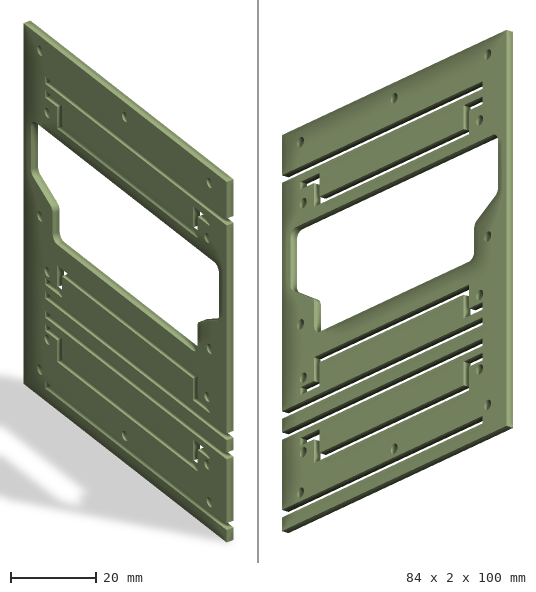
import cadquery as cq

plate_width = 84.0
plate_height = 100.0
plate_thickness = 2.0

slot_width = 1.9
slot_start_x = -33.0
slot_centers_z = (38.9, -20.7, -26.0, -45.6)

crank_center_x = 1.0
crank_width = 2.0
crank_half_length = crank_center_x - slot_start_x
crank_half_bar = 29.0
crank_depth = 7.9
cranks = ((36.0, -1, 30.3), (-17.8, 1, -13.8), (-28.7, -1, -32.6))

hole_diameter = 2.5
mount_hole_x = 35.0
mount_rows = ((46.0, (-1, 0, 1)), (0.0, (-1, 1)), (-42.5, (-1, 0, 1)))
crank_hole_offset = 33.0

window_half_top = 38.8
window_half_bottom = 29.9
window_top_z = 25.1
window_shoulder_z = 10.0
window_waist_z = 4.8
window_bottom_z = -4.1
window_radius = 2.0


def box_cut(x_min, x_max, z_a, z_b):
    """Rectangular cutter through the plate."""
    depth = 2 * plate_thickness
    center = ((x_min + x_max) / 2, 0, (z_a + z_b) / 2)
    return cq.Workplane("XY").box(x_max - x_min, depth, abs(z_b - z_a)).translate(center)


def prism_cut(points):
    """Cutter through the plate with a polygonal XZ outline."""
    return cq.Workplane("XZ").polyline(points).close().extrude(plate_thickness, both=True)


def cranked_slot(foot_z, direction):
    """Cutter for one cranked slot, symmetric about crank_center_x."""
    half_bar_inner = crank_half_bar - crank_width
    foot_inner_z = foot_z + direction * slot_width
    bar_far_z = foot_z + direction * crank_depth
    bar_inner_z = bar_far_z - direction * slot_width
    half = [
        (crank_half_length, foot_z),
        (crank_half_length, foot_inner_z),
        (crank_half_bar, foot_inner_z),
        (crank_half_bar, bar_far_z),
    ]
    inner = [(half_bar_inner, bar_inner_z), (half_bar_inner, foot_z)]
    right = [(crank_center_x + x, z) for x, z in inner + half]
    left = [(crank_center_x - x, z) for x, z in reversed(inner + half)]
    return prism_cut(right + left)


def window():
    """Cutter for the window, with rounded corners."""
    right = [
        (window_half_top, window_top_z),
        (window_half_top, window_shoulder_z),
        (window_half_bottom, window_waist_z),
        (window_half_bottom, window_bottom_z),
    ]
    left = [(-x, z) for x, z in reversed(right)]
    return prism_cut(right + left).edges("|Y").fillet(window_radius)


def round_holes():
    """Cutter for all the round holes."""
    centers = [(side * mount_hole_x, z) for z, sides in mount_rows for side in sides]
    for _, _, hole_z in cranks:
        centers += [(crank_center_x + side * crank_hole_offset, hole_z) for side in (-1, 1)]
    pins = cq.Workplane("XZ").pushPoints(centers).circle(hole_diameter / 2)
    return pins.extrude(plate_thickness, both=True)


result = cq.Workplane("XY").box(plate_width, plate_thickness, plate_height)

for slot_z in slot_centers_z:
    slot_bottom = slot_z - slot_width / 2
    slot_top = slot_z + slot_width / 2
    result = result.cut(box_cut(slot_start_x, plate_width / 2, slot_bottom, slot_top))

for foot_z, direction, _ in cranks:
    result = result.cut(cranked_slot(foot_z, direction))

result = result.cut(window()).cut(round_holes())